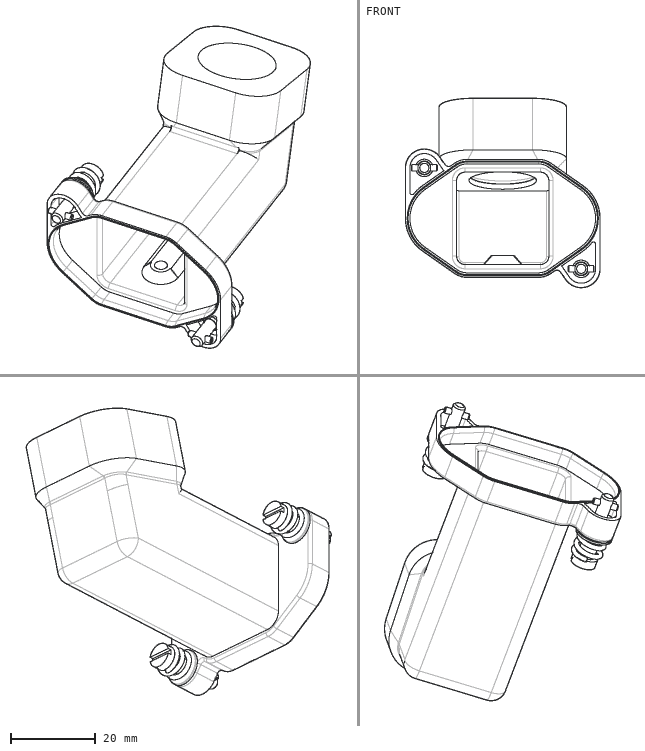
import cadquery as cq
import math


hood_half_height = 13.9
hood_depth = 6.4
hood_end_radius = 9.35
hood_end_center = 13.57
hood_corner_radius = 5.05
hood_slope = math.radians(35)
hood_back_fillet = 0.7
lip_height = 0.2
lip_inset = 0.4
mouth_inset = 0.65
floor_inset = 1.1
flare_depth = 1.15
hood_floor = 4.2

pin_x = 18.47
pin_z = 11.9
pin_places = [(-pin_x, pin_z), (pin_x, -pin_z)]
ear_radius = hood_end_center + hood_end_radius - pin_x
ear_flank = 8.65
ear_joint_radius = 1.0
ear_wall = 1.1
pocket_depth = 3.95
pocket_corner_radius = 0.5

tube_half_width = 12.5
tube_radius = 3.6
cap_tilt = math.radians(15)
cap_rear_y = 68.05
cap_center_z = 24.4
cap_width = 30.0
cap_radius = 8.0
cap_height = 12.6
neck_height = 3.1
neck_fillet = 1.0
root_depth = 7.2
front_fillet = 0.9
neck_depth = cap_height + neck_height
cap_center_y = cap_rear_y - cap_width / 2 * math.cos(cap_tilt)
tube_top_depth = neck_depth + root_depth / 2
tube_top_offset = 8.65

cavity_half_width = 10.9
cavity_radius = 2.0
cavity_mouth_fillet = 1.0
cavity_back_radius = 0.6
back_wall_offset = 9.3
ceiling_depth = 16.05
entry_radius = 9.25
entry_depth = 14.75
entry_lip_radius = 7.9
entry_lip_fillet = 1.1
entry_overrun = 4.3

boss_y = 14.05
boss_height = 2.15
boss_base_radius = 4.5
boss_top_radius = 2.45
boss_hole_radius = 1.5
boss_hole_depth = 2.9
rib_base_half_width = 4.5
rib_top_half_width = 2.7
rib_overrun = 1.45

pin_tip = -3.95
pin_radius = 1.5
pin_tip_chamfer = 0.4
shank_radius = 2.05
shank_front = pocket_depth - 0.5
shank_chamfer = 0.4
washer_thickness = 0.6
washer_fillet = 0.15
head_radius = 3.0
head_front = 12.5
head_back = 14.75
slot_width = 1.2
slot_depth = 0.9
cross_pin_radius = 0.755
cross_pin_length = 6.1
cross_pin_chamfer = 0.2
cross_pin_y = -1.65
wire_radius = 0.6
coil_radius = 3.205
coil_turns = 2.75
coil_front = hood_depth + washer_thickness + wire_radius
coil_back = 12.13
points_per_turn = 12

tolerance = 0.01

cap_sideways = cq.Vector(0, math.cos(cap_tilt), -math.sin(cap_tilt))
cap_frame = cq.Plane(
    origin=(0, cap_center_y, cap_center_z),
    xDir=(1, 0, 0),
    normal=(0, math.sin(cap_tilt), math.cos(cap_tilt)),
)


def front_plane(y):
    """Workplane parallel to XZ at the given Y; extruding by a negative length goes towards +Y."""
    return cq.Workplane("XZ", origin=(0, y, 0))


def cylinder(radius, front, back):
    return front_plane(front).circle(radius).extrude(front - back)


def tilted_point(offset, depth):
    """(Y, Z) of a point at a sideways offset and a depth in the cap frame."""
    y = cap_center_y + offset * math.cos(cap_tilt) - depth * math.sin(cap_tilt)
    z = cap_center_z - offset * math.sin(cap_tilt) - depth * math.cos(cap_tilt)
    return (y, z)


def tilted_line_at(offset, z):
    """(Y, Z) where a line parallel to the cap axis reaches the given Z."""
    depth = (cap_center_z - offset * math.sin(cap_tilt) - z) / math.cos(cap_tilt)
    return tilted_point(offset, depth)


def tilted_level_at(depth, z):
    """(Y, Z) where a line parallel to the cap's top face reaches the given Z."""
    offset = (cap_center_z - depth * math.cos(cap_tilt) - z) / math.sin(cap_tilt)
    return tilted_point(offset, depth)


def hood_outline(inset):
    """Hood contour moved inwards by inset."""
    height = hood_half_height - inset
    reach = hood_end_center * math.sin(hood_slope) + hood_end_radius - inset
    corner_x = (reach - height * math.cos(hood_slope)) / math.sin(hood_slope)
    apex_x = reach / math.sin(hood_slope)
    corners = [
        (apex_x, 0),
        (corner_x, height),
        (-corner_x, height),
        (-apex_x, 0),
        (-corner_x, -height),
        (corner_x, -height),
        (apex_x, 0),
    ]
    return (
        cq.Sketch()
        .polygon(corners)
        .vertices("<X or >X")
        .fillet(hood_end_radius - inset)
        .reset()
        .vertices(">Y or <Y")
        .fillet(hood_corner_radius - inset)
    )


def rounded_square(width, radius):
    return cq.Sketch().rect(width, width).vertices().fillet(radius)


def hood_prism(inset, front, back):
    return front_plane(front).placeSketch(hood_outline(inset)).extrude(front - back)


def ear_prism(inset, depth):
    """Upper-left ear: a round tab whose flank runs square into the sloping side of the hood."""
    radius = ear_radius - inset
    across = (math.cos(hood_slope), math.sin(hood_slope))
    along = (math.sin(hood_slope), -math.cos(hood_slope))
    flank_start = (-pin_x + radius * across[0], pin_z + radius * across[1])
    flank_end = (flank_start[0] + ear_flank * along[0], flank_start[1] + ear_flank * along[1])
    return (
        front_plane(0)
        .moveTo(-pin_x - radius, 0)
        .lineTo(-pin_x - radius, pin_z)
        .threePointArc((-pin_x, pin_z + radius), flank_start)
        .lineTo(*flank_end)
        .close()
        .extrude(-depth)
    )


def on_both_ears(shape):
    return [shape, shape.rotate((0, 0, 0), (0, 1, 0), 180)]


def make_flange():
    """Hood block with its two ears, solid apart from the ear pockets."""
    flange = hood_prism(0, 0, hood_depth)
    for ear in on_both_ears(ear_prism(0, hood_depth)):
        flange = flange.union(ear)
    joint_reach = hood_end_center * math.sin(hood_slope) + hood_end_radius
    flank_reach = ear_radius - pin_x * math.cos(hood_slope) + pin_z * math.sin(hood_slope)
    joint_x = flank_reach * math.cos(hood_slope) - joint_reach * math.sin(hood_slope)
    joint_z = flank_reach * math.sin(hood_slope) + joint_reach * math.cos(hood_slope)
    for side in (1, -1):
        joint = cq.selectors.NearestToPointSelector((side * joint_x, hood_depth / 2, side * joint_z))
        flange = flange.edges("|Y").edges(joint).fillet(ear_joint_radius)
    flange = flange.faces(">Y").edges().fillet(hood_back_fillet)
    pocket = ear_prism(ear_wall, pocket_depth).cut(hood_prism(0, 0, hood_depth))
    pocket = pocket.edges("|Y").edges("<Z").fillet(pocket_corner_radius)
    for cutter in on_both_ears(pocket):
        flange = flange.cut(cutter)
    return flange.union(hood_prism(lip_inset, -lip_height, hood_depth / 2))


def make_tube():
    """Rounded square tube with an oblique rear end, solid inside; its top rear end lies in the cap."""
    half = tube_half_width
    profile = [
        (hood_floor, -half),
        tilted_line_at(half, -half),
        tilted_point(half, tube_top_depth),
        tilted_line_at(-tube_top_offset, half),
        (hood_floor, half),
    ]
    tube = cq.Workplane("YZ").polyline(profile).close().extrude(half, both=True)
    lengthwise = tube.edges("|Y")
    rear_wall = tube.faces(cq.selectors.DirectionMinMaxSelector(cap_sideways))
    rear_corners = rear_wall.edges("not |X")
    rear_bottom = rear_wall.edges("|X").edges("<Z")
    return tube.newObject(lengthwise.vals() + rear_corners.vals() + rear_bottom.vals()).fillet(tube_radius)


def make_cap():
    """Tilted cap, tapering through a neck to a root with the section of the tube."""
    wide = rounded_square(cap_width, cap_radius)
    narrow = rounded_square(2 * tube_half_width, tube_radius)
    cap = cq.Workplane(cap_frame).placeSketch(wide).extrude(-cap_height)
    neck = (
        cq.Workplane(cap_frame)
        .workplane(offset=-cap_height)
        .placeSketch(wide, narrow.moved(cq.Location(cq.Vector(0, 0, -neck_height))))
        .loft()
    )
    root = (
        cq.Workplane(cap_frame)
        .workplane(offset=-neck_depth)
        .placeSketch(narrow)
        .extrude(-root_depth)
    )
    cap = cap.union(neck).union(root)
    neck_plane = cap_frame.origin - cap_frame.zDir * neck_depth
    on_neck_plane = [
        edge
        for edge in cap.edges().vals()
        if abs((edge.startPoint() - neck_plane).dot(cap_frame.zDir)) < tolerance
        and abs((edge.endPoint() - neck_plane).dot(cap_frame.zDir)) < tolerance
    ]
    return cap.newObject(on_neck_plane).fillet(neck_fillet)


def make_front_fillet():
    """Strip that rounds the sharp inner corner between the neck and the top of the tube."""
    half = tube_half_width
    neck_slope = math.atan((cap_width / 2 - half) / neck_height)
    corner_angle = math.pi / 2 - neck_slope + cap_tilt
    tangent_length = front_fillet / math.tan(corner_angle / 2)
    middle_distance = front_fillet / math.sin(corner_angle / 2) - front_fillet
    corner_y = tilted_point(-half, neck_depth)[0]

    def from_corner(distance, angle):
        return (corner_y - distance * math.cos(angle), half + distance * math.sin(angle))

    return (
        cq.Workplane("YZ")
        .moveTo(*from_corner(tangent_length, 0))
        .threePointArc(
            from_corner(middle_distance, corner_angle / 2),
            from_corner(tangent_length, corner_angle),
        )
        .lineTo(*from_corner(-front_fillet, corner_angle / 2))
        .close()
        .extrude(half - tube_radius, both=True)
    )


def make_mouth():
    """Opening of the hood: straight walls that flare out at the rim."""
    flare_end = hood_outline(floor_inset).moved(cq.Location(cq.Vector(0, 0, -lip_height - flare_depth)))
    flare = front_plane(-lip_height).placeSketch(hood_outline(mouth_inset), flare_end).loft()
    return flare.union(hood_prism(floor_inset, -lip_height, hood_floor))


def make_cavity():
    """Inside of the tube, closed by an oblique back wall and a tilted ceiling."""
    half = cavity_half_width
    profile = [
        (hood_floor, -half),
        tilted_line_at(back_wall_offset, -half),
        tilted_point(back_wall_offset, ceiling_depth),
        tilted_level_at(ceiling_depth, half),
        (hood_floor, half),
    ]
    cavity = cq.Workplane("YZ").polyline(profile).close().extrude(half, both=True)
    cavity = cavity.edges("|Y").fillet(cavity_radius)
    back_wall = cavity.faces(cq.selectors.DirectionMinMaxSelector(cap_sideways))
    return back_wall.edges("not |X").fillet(cavity_back_radius)


def make_cable_entry():
    """Bore in the cap that steps down to a rounded lip above the cavity."""
    bore = cq.Workplane(cap_frame).circle(entry_radius).extrude(-entry_depth)
    lip = cq.Workplane(cap_frame).circle(entry_lip_radius).extrude(-ceiling_depth - entry_overrun)
    entry = bore.union(lip)
    lip_edge_point = cap_frame.toWorldCoords((entry_lip_radius, 0, -entry_depth))
    lip_edge = cq.selectors.NearestToPointSelector(lip_edge_point)
    return entry.edges("%CIRCLE").edges(lip_edge).fillet(entry_lip_fillet)


def make_boss():
    """Screw boss on the cavity floor and the rib that runs from it into the back wall."""
    floor_z = -cavity_half_width
    boss = (
        cq.Workplane("XY", origin=(0, boss_y, floor_z))
        .circle(boss_base_radius)
        .workplane(offset=boss_height)
        .circle(boss_top_radius)
        .loft()
    )
    back_y = tilted_line_at(back_wall_offset, floor_z)[0] + rib_overrun
    rib_profile = [
        (-rib_base_half_width, floor_z),
        (rib_base_half_width, floor_z),
        (rib_top_half_width, floor_z + boss_height),
        (-rib_top_half_width, floor_z + boss_height),
    ]
    rib = front_plane(boss_y).polyline(rib_profile).close().extrude(boss_y - back_y)
    return boss.union(rib)


def make_housing():
    housing = make_flange().union(make_tube()).union(make_cap()).union(make_front_fillet())
    housing = housing.cut(make_mouth()).cut(make_cavity())
    half = cavity_half_width + tolerance
    cavity_rim = cq.selectors.BoxSelector(
        (-half, hood_floor - tolerance, -half), (half, hood_floor + tolerance, half)
    )
    housing = housing.edges(cavity_rim).fillet(cavity_mouth_fillet)
    housing = housing.cut(make_cable_entry()).union(make_boss())
    boss_hole = (
        cq.Workplane("XY", origin=(0, boss_y, boss_height - cavity_half_width))
        .circle(boss_hole_radius)
        .extrude(-boss_hole_depth)
    )
    housing = housing.cut(boss_hole)
    for x, z in pin_places:
        housing = housing.cut(cylinder(shank_radius, 0, hood_depth).translate((x, 0, z)))
    return housing


def make_spring():
    """Coil that lies flat at both ends and climbs most steeply in the middle."""
    steps = round(coil_turns * points_per_turn)
    path = []
    for step in range(steps + 1):
        part = step / steps
        climb = 3 * part**2 - 2 * part**3
        angle = 2 * math.pi * coil_turns * part - math.pi / 2
        path.append(
            (
                -coil_radius * math.cos(angle),
                coil_back - (coil_back - coil_front) * climb,
                coil_radius * math.sin(angle),
            )
        )
    center_line = cq.Workplane("XY").spline(path)
    start = cq.Plane(origin=path[0], xDir=(0, 1, 0), normal=center_line.val().tangentAt(0))
    return cq.Workplane(start).circle(wire_radius).sweep(center_line)


def make_locking_pin():
    """Slotted screw with washer, spring and cross pin, on an axis along Y through the origin."""
    tip = cylinder(pin_radius, pin_tip, shank_front).faces("<Y").chamfer(pin_tip_chamfer)
    shank = cylinder(shank_radius, shank_front, head_back).faces("<Y").chamfer(shank_chamfer)
    washer_back = hood_depth + washer_thickness
    washer = cylinder(ear_radius, hood_depth, washer_back).faces(">Y").edges().fillet(washer_fillet)
    head = cylinder(head_radius, head_front, head_back)
    slot = cq.Workplane("XY").box(3 * head_radius, 2 * slot_depth, slot_width).translate((0, head_back, 0))
    cross_pin = (
        cq.Workplane("YZ", origin=(0, cross_pin_y, 0))
        .circle(cross_pin_radius)
        .extrude(cross_pin_length / 2, both=True)
        .faces("<X or >X")
        .chamfer(cross_pin_chamfer)
    )
    screw = tip.union(shank).union(washer).union(head).cut(slot).union(cross_pin)
    return screw.union(make_spring())


housing = make_housing()
locking_pin = make_locking_pin()
locking_pins = [locking_pin.translate((x, 0, z)).val() for x, z in pin_places]
result = cq.Compound.makeCompound([housing.val(), *locking_pins])